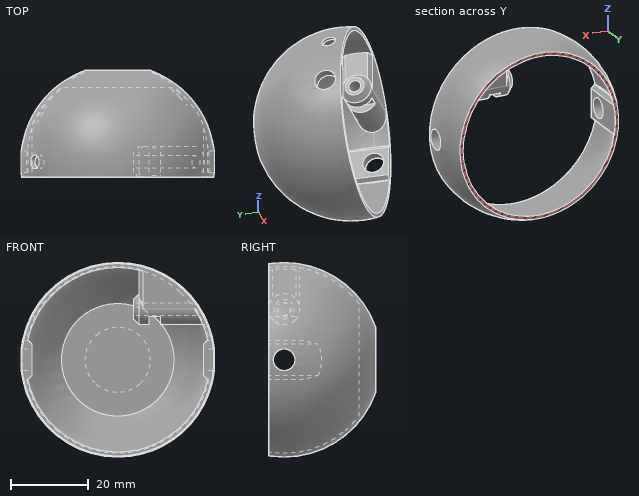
import cadquery as cq

OUTER_RADIUS = 25.0
WALL = 1.0
INNER_RADIUS = OUTER_RADIUS - WALL
RIM_Y = -4.0
BACK_Y = 23.56
FLOOR_Y = 19.16

PAD_FACE_X = 22.0
PAD_HEIGHT = 10.0
PAD_CHAMFER = 1.0
PIVOT_HOLE_DIAMETER = 5.5

BOSS_AXIS_Z = 13.0
BOSS_RADIUS = 4.0
BOSS_TIP_X = 4.0
BOSS_TIP_CHAMFER = 1.5
BOSS_SHOULDER_X = BOSS_TIP_X + BOSS_TIP_CHAMFER
SCREW_HOLE_DIAMETER = 3.2
ACCESS_HOLE_DIAMETER = 3.5

WEB_CHAMFER = 1.0

NUT_SLOT_X = 8.0
NUT_SLOT_WIDTH = 3.0
NUT_SLOT_TOP_Z = 11.1


def truncated_ball(radius, front_y, back_y):
    """Ball about the origin, kept only between two planes normal to Y."""
    depth = back_y - front_y
    slab = cq.Workplane("XY").box(2 * radius, depth, 2 * radius).translate((0, front_y + depth / 2, 0))
    return cq.Workplane("XY").sphere(radius).intersect(slab)


def x_cylinder(diameter, start_x, end_x, axis_z=0.0):
    """Cylinder parallel to X, centred on Y = 0."""
    return (
        cq.Workplane("YZ", origin=(start_x, 0, axis_z))
        .circle(diameter / 2)
        .extrude(end_x - start_x)
    )


def pivot_pad(side):
    """Flat pad running along Y, with chamfered long edges; side is +1 (right) or -1 (left)."""
    thickness = OUTER_RADIUS - PAD_FACE_X
    pad = (
        cq.Workplane("XY")
        .box(thickness, 2 * OUTER_RADIUS, PAD_HEIGHT, centered=(False, True, True))
        .edges("|Y and <X")
        .chamfer(PAD_CHAMFER)
        .translate((PAD_FACE_X, 0, 0))
    )
    return pad if side > 0 else pad.mirror("YZ")


def screw_boss():
    """Round boss with a chamfered tip."""
    boss = x_cylinder(2 * BOSS_RADIUS, BOSS_TIP_X, OUTER_RADIUS, BOSS_AXIS_Z)
    return boss.faces("<X").chamfer(BOSS_TIP_CHAMFER)


def boss_web():
    """Block filling the corner above the boss, as deep as the boss is wide."""
    length = OUTER_RADIUS - BOSS_SHOULDER_X
    height = OUTER_RADIUS - BOSS_AXIS_Z
    web = cq.Workplane("XY").box(length, 2 * BOSS_RADIUS, height, centered=(False, True, False))
    web = web.edges("|Z and <X").chamfer(WEB_CHAMFER)
    return web.translate((BOSS_SHOULDER_X, 0, BOSS_AXIS_Z))


def nut_slot():
    """Slot across the underside of the boss."""
    boss_bottom_z = BOSS_AXIS_Z - BOSS_RADIUS
    return (
        cq.Workplane("XY")
        .box(NUT_SLOT_WIDTH, 2 * BOSS_RADIUS, NUT_SLOT_TOP_Z - boss_bottom_z, centered=(False, True, False))
        .translate((NUT_SLOT_X, 0, boss_bottom_z))
    )


def blind_screw_hole():
    """Hole along the boss, stopping at the inner surface of the shell wall."""
    hole = x_cylinder(SCREW_HOLE_DIAMETER, 0, OUTER_RADIUS, BOSS_AXIS_Z)
    return hole.intersect(cq.Workplane("XY").sphere(INNER_RADIUS))


envelope = truncated_ball(OUTER_RADIUS, RIM_Y, BACK_Y)
shell = envelope.cut(truncated_ball(INNER_RADIUS, RIM_Y, FLOOR_Y))
inside = screw_boss().union(boss_web()).union(pivot_pad(1)).union(pivot_pad(-1))
result = shell.union(inside.intersect(envelope))
result = result.cut(nut_slot())
result = result.cut(x_cylinder(PIVOT_HOLE_DIAMETER, -OUTER_RADIUS, OUTER_RADIUS))
result = result.cut(x_cylinder(ACCESS_HOLE_DIAMETER, -OUTER_RADIUS, 0, BOSS_AXIS_Z))
result = result.cut(blind_screw_hole())